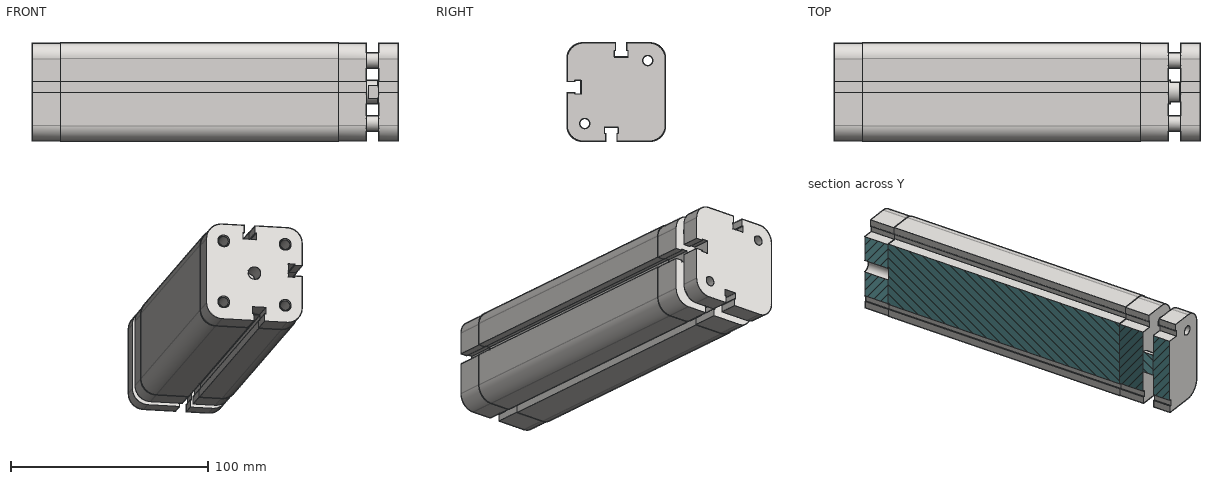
import cadquery as cq


overall_length = 185.5
cap_length = 14.3
housing_length = 169.4
plate_thickness = 10.0
barrel_start = cap_length
front_cap_start = housing_length - cap_length
barrel_length = front_cap_start - barrel_start
plate_start = overall_length - plate_thickness
rod_gap = plate_start - housing_length

barrel_side = 50.0
cap_step = 0.25
cap_side = barrel_side - 2 * cap_step
corner_radius = 8.0

slot_neck_width = 5.5
slot_overlap = 0.28
slot_shift = slot_neck_width / 2 - slot_overlap
slot_neck_depth = 4.0
slot_head_width = 6.9
barrel_slot_depth = 7.0
slot_floor_step = 0.4
cap_slot_depth = barrel_slot_depth + slot_floor_step
slot_angles = (0, 90, 180)

hole_offset = 16.0
hole_diameter = 5.0
hole_chamfer = 0.5
chamfer_angle = 45
port_diameter = 6.5
guide_rod_diameter = 8.0
through_hole_places = [(hole_offset, hole_offset), (-hole_offset, -hole_offset)]
guide_rod_places = [(-hole_offset, hole_offset), (hole_offset, -hole_offset)]

piston_rod_diameter = 12.0
wrench_flat_width = 10.0
wrench_flat_setback = 1.0
rod_end_chamfer = 0.5


def section_plane(x):
    """YZ plane at the given X; local x is Y and local y is Z."""
    return cq.Workplane("YZ", origin=(x, 0, 0))


def cylinders(x, length, diameter, places):
    """Cylinders along X, standing at the given (Y, Z) places."""
    return section_plane(x).pushPoints(places).circle(diameter / 2).extrude(length)


def t_slot(x, length, depth):
    """Cutter for the T-slot in the +Z face."""
    face = barrel_side / 2
    neck = section_plane(x).center(slot_shift, face - slot_neck_depth / 2)
    neck = neck.rect(slot_neck_width, slot_neck_depth).extrude(length)
    head_height = depth - slot_neck_depth
    head = section_plane(x).center(slot_shift, face - slot_neck_depth - head_height / 2)
    head = head.rect(slot_head_width, head_height).extrude(length)
    return neck.union(head)


def slotted_block(x, length, side, slot_depth):
    """Rounded square block with the T-slots and the two through holes."""
    block = section_plane(x).rect(side, side).extrude(length).edges("|X").fillet(corner_radius)
    slot = t_slot(x, length, slot_depth)
    for angle in slot_angles:
        block = block.cut(slot.rotate((0, 0, 0), (1, 0, 0), angle))
    return block.cut(cylinders(x, length, hole_diameter, through_hole_places))


def make_rear_cap():
    cap = slotted_block(0, cap_length, cap_side, cap_slot_depth)
    cap = cap.cut(cylinders(0, cap_length, hole_diameter, guide_rod_places))
    mouth = section_plane(0).pushPoints(through_hole_places + guide_rod_places)
    mouth = mouth.circle(hole_diameter / 2 + hole_chamfer).extrude(hole_chamfer, taper=chamfer_angle)
    cap = cap.cut(mouth)
    return cap.cut(cylinders(0, cap_length, port_diameter, [(0, 0)]))


def make_barrel():
    return slotted_block(barrel_start, barrel_length, barrel_side, barrel_slot_depth)


def make_front_cap():
    return slotted_block(front_cap_start, cap_length, cap_side, cap_slot_depth)


def make_piston_rod():
    """Rod between front cap and plate, with two wrench flats facing -Y and +Y."""
    rod = cylinders(housing_length, rod_gap, piston_rod_diameter, [(0, 0)])
    rod = rod.faces(">X").chamfer(rod_end_chamfer)
    collar = cylinders(housing_length, wrench_flat_setback, piston_rod_diameter, [(0, 0)])
    flats = section_plane(housing_length).rect(wrench_flat_width, piston_rod_diameter).extrude(rod_gap)
    return rod.intersect(flats.union(collar))


def make_guide_plate():
    """End plate with its two guide rods, which reach back to the front cap."""
    plate = slotted_block(plate_start, plate_thickness, cap_side, cap_slot_depth)
    return plate.union(cylinders(housing_length, rod_gap, guide_rod_diameter, guide_rod_places))


rear_cap = make_rear_cap()
barrel = make_barrel()
front_cap = make_front_cap()
piston_rod = make_piston_rod()
guide_plate = make_guide_plate()

result = cq.Compound.makeCompound(
    [rear_cap.val(), barrel.val(), front_cap.val(), piston_rod.val(), guide_plate.val()]
)